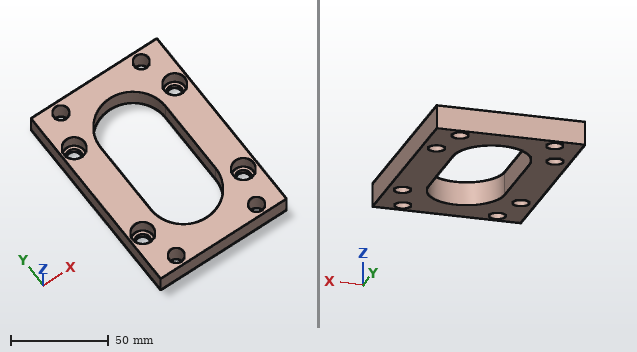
import cadquery as cq

plate_width = 79.5
plate_length = 114.3
plate_thickness = 12.7

slot_width = 40.9
slot_length = 84.9
slot_offset_y = 0.5

hole_diameter = 8.7
corner_spacing_x = 50.7
corner_spacing_y = 101.6

counterbore_spacing_x = 63.5
counterbore_spacing_y = 60.5
counterbore_diameter = 12.7
counterbore_depth = 9.5


def top_face_pattern(body, spacing_x, spacing_y):
    """Place four points in a rectangle about the centre of the top face."""
    top_plane = body.faces(">Z").workplane(origin=(0, 0, 0))
    return top_plane.rect(spacing_x, spacing_y, forConstruction=True).vertices()


plate = cq.Workplane("XY").box(
    plate_width, plate_length, plate_thickness, centered=(True, True, False)
)

opening_plane = plate.faces(">Z").workplane().center(0, slot_offset_y)
plate = opening_plane.slot2D(slot_length, slot_width, angle=90).cutThruAll()

plate = top_face_pattern(plate, corner_spacing_x, corner_spacing_y).hole(hole_diameter)

result = top_face_pattern(plate, counterbore_spacing_x, counterbore_spacing_y).cboreHole(
    hole_diameter, counterbore_diameter, counterbore_depth
)